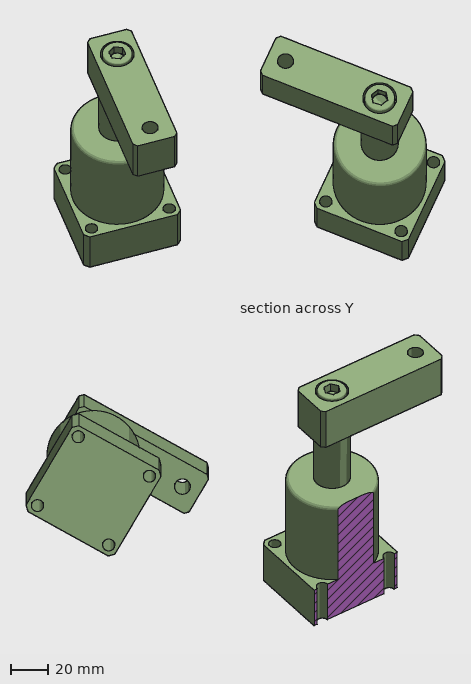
import cadquery as cq
import math


base_side = 55.0
base_height = 25.0
base_corner_circle = 74.0
mount_hole_spacing = 44.0
mount_hole_diameter = 6.6
barrel_diameter = 50.0
barrel_top_z = 76.0
barrel_edge_radius = 3.0

arm_length = 80.0
arm_width = 25.0
arm_height = 25.0
arm_corner_chamfer = 2.0
arm_rear_overhang = 15.0
tip_hole_offset = 55.0
tip_hole_diameter = 8.5

rod_diameter = 20.0
screw_top_z = 137.0
head_protrusion = 1.0
head_diameter = 16.0
head_height = 10.0
head_edge_radius = 1.0
shank_diameter = 10.0
shank_length = 30.0
hex_across_flats = 8.0
hex_depth = 5.0
hex_turn = 4.0
socket_cone_angle = 120.0
counterbore_diameter = 18.0

arm_top_z = screw_top_z - head_protrusion
arm_bottom_z = arm_top_z - arm_height
head_bottom_z = screw_top_z - head_height
shank_end_z = head_bottom_z - shank_length


def cylinder(diameter, bottom_z, top_z):
    """Solid cylinder on the rod axis between two levels."""
    return cq.Workplane("XY").workplane(offset=bottom_z).circle(diameter / 2).extrude(top_z - bottom_z)


def make_housing():
    """Square base, its corners trimmed to a circle, with four through holes and a rounded barrel."""
    square = cq.Workplane("XY").rect(base_side, base_side).extrude(base_height)
    base = square.intersect(cylinder(base_corner_circle, 0, base_height))
    mount_holes = (
        cq.Workplane("XY")
        .rect(mount_hole_spacing, mount_hole_spacing, forConstruction=True)
        .vertices()
        .circle(mount_hole_diameter / 2)
        .extrude(base_height)
    )
    barrel = cylinder(barrel_diameter, base_height, barrel_top_z)
    barrel = barrel.faces(">Z").edges().fillet(barrel_edge_radius)
    return base.cut(mount_holes).union(barrel)


def make_rod():
    """Plain rod from the barrel top to the arm, bored for the screw shank."""
    rod = cylinder(rod_diameter, barrel_top_z, arm_bottom_z)
    return rod.cut(cylinder(shank_diameter, shank_end_z, arm_bottom_z))


def make_arm():
    """Rectangular bar with a counterbored screw hole and a plain tip hole."""
    arm = (
        cq.Workplane("XY")
        .workplane(offset=arm_bottom_z)
        .center(arm_length / 2 - arm_rear_overhang, 0)
        .rect(arm_length, arm_width)
        .extrude(arm_height)
        .edges("|Z")
        .chamfer(arm_corner_chamfer)
    )
    screw_hole = cylinder(shank_diameter, arm_bottom_z, arm_top_z)
    counterbore = cylinder(counterbore_diameter, head_bottom_z, arm_top_z)
    tip_hole = cylinder(tip_hole_diameter, arm_bottom_z, arm_top_z).translate((tip_hole_offset, 0, 0))
    return arm.cut(screw_hole).cut(counterbore).cut(tip_hole)


def make_hex_socket():
    """Hexagonal recess, turned slightly about Z, and a conical floor."""
    corner_distance = hex_across_flats / math.cos(math.radians(30))
    floor_z = screw_top_z - hex_depth
    prism = cq.Workplane("XY").workplane(offset=floor_z).polygon(6, corner_distance).extrude(hex_depth)
    prism = prism.rotate((0, 0, 0), (0, 0, 1), hex_turn)
    cone_radius = hex_across_flats / 2
    cone_depth = cone_radius / math.tan(math.radians(socket_cone_angle / 2))
    cone = (
        cq.Workplane("XZ")
        .moveTo(0, floor_z)
        .lineTo(cone_radius, floor_z)
        .lineTo(0, floor_z - cone_depth)
        .close()
        .revolve()
    )
    return prism.union(cone)


def make_screw():
    """Socket head screw passing through the arm into the rod."""
    head = cylinder(head_diameter, head_bottom_z, screw_top_z)
    head = head.faces(">Z").edges().fillet(head_edge_radius)
    shank = cylinder(shank_diameter, shank_end_z, head_bottom_z)
    return head.union(shank).cut(make_hex_socket())


housing = make_housing()
rod = make_rod()
arm = make_arm()
screw = make_screw()

result = cq.Compound.makeCompound([housing.val(), rod.val(), arm.val(), screw.val()])